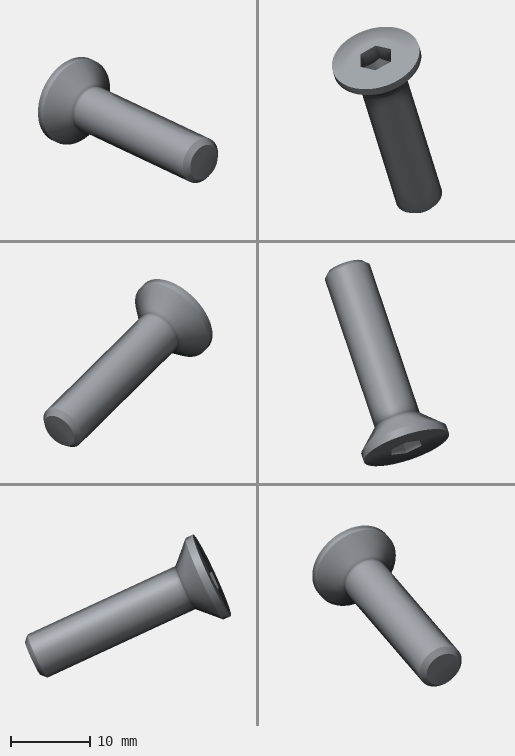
import cadquery as cq
import math

length = 25.0
head_diameter = 11.35
shank_diameter = 6.0
rim_thickness = 1.02
tip_chamfer = 0.68
socket_across_flats = 4.0
socket_depth = 2.2
socket_floor_angle = 120.0

head_radius = head_diameter / 2
shank_radius = shank_diameter / 2
head_height = rim_thickness + head_radius - shank_radius
socket_corner_radius = socket_across_flats / math.sqrt(3)
socket_cone_height = socket_corner_radius / math.tan(math.radians(socket_floor_angle / 2))


def make_body():
    """Revolve the head, shank and chamfered tip about the X axis."""
    return (
        cq.Workplane("XY")
        .moveTo(0, 0)
        .lineTo(0, head_radius)
        .lineTo(rim_thickness, head_radius)
        .lineTo(head_height, shank_radius)
        .lineTo(length - tip_chamfer, shank_radius)
        .lineTo(length, shank_radius - tip_chamfer)
        .lineTo(length, 0)
        .close()
        .revolve(360, (0, 0, 0), (1, 0, 0))
    )


def make_socket():
    """Hexagonal prism with corners on the Z axis, ending in a conical floor."""
    full_depth = socket_depth + socket_cone_height
    prism = (
        cq.Workplane("YZ")
        .polygon(6, 2 * socket_corner_radius)
        .extrude(full_depth)
        .rotate((0, 0, 0), (1, 0, 0), 90)
    )
    pointed_bore = (
        cq.Workplane("XY")
        .moveTo(0, 0)
        .lineTo(0, socket_corner_radius)
        .lineTo(socket_depth, socket_corner_radius)
        .lineTo(full_depth, 0)
        .close()
        .revolve(360, (0, 0, 0), (1, 0, 0))
    )
    return prism.intersect(pointed_bore)


result = make_body().cut(make_socket())